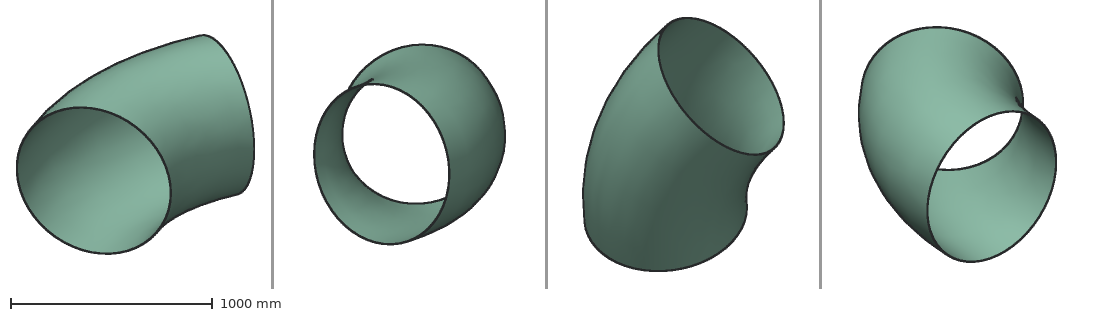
import cadquery as cq
import math

bend_angle = 45.0
length_y = 1149.0
wall = 4.0
radius_to_diameter = 1.5

extrados_radius = length_y / math.sin(math.radians(bend_angle))
outer_diameter = extrados_radius / (radius_to_diameter + 0.5)
bend_radius = radius_to_diameter * outer_diameter
outer_radius = outer_diameter / 2
inner_radius = outer_radius - wall

result = (
    cq.Workplane("XZ")
    .circle(outer_radius)
    .circle(inner_radius)
    .revolve(bend_angle, (bend_radius, 0, 0), (bend_radius, -1, 0))
)